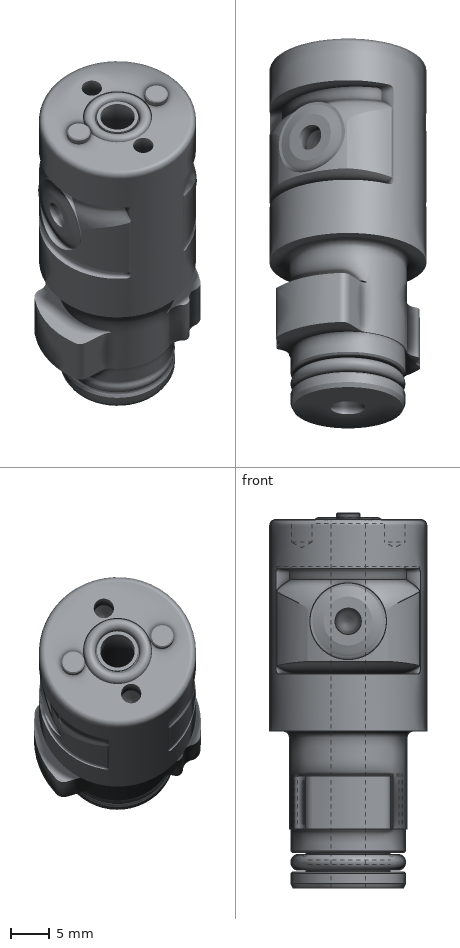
import cadquery as cq
import math

body_radius = 20.6 / 2
body_bottom = 20.55
body_top = 48.25
body_edge_radius = 0.8
bore_radius = 2.25

shaft_radius = 7.7
shaft_bottom = 7.7
shoulder_fillet = 0.8

spigot_radius = 7.5
groove_bottom = 2.1
groove_top = 4.6
groove_radius = 5.5
groove_edge_chamfer = 0.25
spigot_lead_in = 0.3
spigot_lead_in_height = 0.6
spigot_ring_tube = 1.05

face_ring_radius = 3.7
face_ring_tube = 0.85
face_ring_height = 0.3
bore_lip_radius = 2.7

face_circle_radius = 6.1
pin_radius = 1.5
pin_top = 49.1
pin_chamfer = 0.15
drill_radius = 1.35
drill_depth = 2.95
drill_tip_depth = 0.75

web_half_width = 4.1
window_bottom = 28.05
front_window_top = 41.85
back_window_top = 42.1
window_fillet = 0.6

jaw_axis_offset = 2.05
jaw_neck_radius = 7.75 + jaw_axis_offset
jaw_radius = 24.2 / 2
jaw_half_width = 9.35
jaw_cone_top = 29.65
jaw_dome_bottom = 36.0
jaw_dome_middle_radius = 11.85
jaw_dome_middle = 37.7
jaw_dome_top_radius = 11.2
jaw_dome_top = 38.95
jaw_neck_bottom = 40.4
jaw_neck_flare = 0.25

screw_height = 34.9
screw_flange_radius = 5.0
screw_cone_radius = 4.6
screw_face_radius = 3.2
screw_face = 9.55
screw_cone_depth = 0.4
socket_radius = 1.7
socket_depth = 1.95
socket_tip_depth = 0.75

lug_outer_radius = 10.95
lug_top = 14.65
lug_gap = 0.3
lug_gap_radius = 7.25


def half_turn(solid):
    return solid.rotate((0, 0, 0), (0, 0, 1), 180)


def torus(ring_radius, tube_radius, height):
    return cq.Workplane("XZ").center(ring_radius, height).circle(tube_radius).revolve(
        360, (-ring_radius, 0), (-ring_radius, 1)
    )


def blind_hole(radius, depth, tip_depth):
    """Drill with a conical tip, pointing down from the origin."""
    return (
        cq.Workplane("XZ")
        .polyline([(0, 0), (radius, 0), (radius, -depth), (0, -depth - tip_depth)])
        .close()
        .revolve(360, (0, 0), (0, 1))
    )


def turned_body():
    spigot_bottom_radius = spigot_radius - spigot_lead_in
    groove_edge_radius = spigot_radius - groove_edge_chamfer
    fillet_middle = shoulder_fillet * (1 - math.sqrt(0.5))
    edge_middle = body_edge_radius * (1 - math.sqrt(0.5))
    return (
        cq.Workplane("XZ")
        .moveTo(0, 0)
        .lineTo(spigot_bottom_radius, 0)
        .lineTo(spigot_radius, spigot_lead_in_height)
        .lineTo(spigot_radius, groove_bottom - groove_edge_chamfer)
        .lineTo(groove_edge_radius, groove_bottom)
        .lineTo(groove_radius, groove_bottom)
        .lineTo(groove_radius, groove_top)
        .lineTo(groove_edge_radius, groove_top)
        .lineTo(spigot_radius, groove_top + groove_edge_chamfer)
        .lineTo(spigot_radius, shaft_bottom)
        .lineTo(shaft_radius, shaft_bottom)
        .lineTo(shaft_radius, body_bottom - shoulder_fillet)
        .threePointArc(
            (shaft_radius + fillet_middle, body_bottom - fillet_middle),
            (shaft_radius + shoulder_fillet, body_bottom),
        )
        .lineTo(body_radius, body_bottom)
        .lineTo(body_radius, body_top - body_edge_radius)
        .threePointArc(
            (body_radius - edge_middle, body_top - edge_middle),
            (body_radius - body_edge_radius, body_top),
        )
        .lineTo(0, body_top)
        .close()
        .revolve(360, (0, 0), (0, 1))
    )


def window(top):
    """Opening on the -Y side, rounded where floor and ceiling meet the web."""
    return (
        cq.Workplane("XY")
        .box(2 * body_radius, body_radius, top - window_bottom, centered=(True, False, False))
        .edges("|X and >Y")
        .fillet(window_fillet)
        .translate((0, -web_half_width - body_radius, window_bottom))
    )


def jaw():
    """Jaw on the -Y side, running into the floor and ceiling of its window."""
    dome_points = [
        (jaw_dome_middle_radius, jaw_dome_middle),
        (jaw_dome_top_radius, jaw_dome_top),
        (jaw_neck_radius + jaw_neck_flare, jaw_neck_bottom - jaw_neck_flare),
    ]
    turned = (
        cq.Workplane("XZ")
        .moveTo(0, window_bottom)
        .lineTo(jaw_neck_radius, window_bottom)
        .lineTo(jaw_radius, jaw_cone_top)
        .lineTo(jaw_radius, jaw_dome_bottom)
        .spline(dome_points, includeCurrent=True)
        .lineTo(jaw_neck_radius, jaw_neck_bottom)
        .lineTo(jaw_neck_radius, back_window_top)
        .lineTo(0, back_window_top)
        .close()
        .revolve(360, (0, 0), (0, 1))
        .translate((0, jaw_axis_offset, 0))
    )
    outside_web = cq.Workplane("XY").box(
        2 * jaw_half_width, body_radius, body_top, centered=(True, False, False)
    ).translate((0, -body_radius, 0))
    body_envelope = cq.Workplane("XY").circle(body_radius).extrude(body_top)
    recess = (
        cq.Workplane("XZ", origin=(0, screw_cone_depth - screw_face, screw_height))
        .circle(screw_flange_radius)
        .extrude(body_radius)
    )
    return turned.intersect(outside_web).intersect(body_envelope).cut(recess)


def on_jaw_face(solid):
    """Turn a solid from the Z axis to the -Y axis and set it on the screw face."""
    return solid.rotate((0, 0, 0), (1, 0, 0), 90).translate((0, -screw_face, screw_height))


def screw():
    rim_height = -screw_cone_depth
    root_height = web_half_width - screw_face
    profile = [
        (0, root_height),
        (screw_flange_radius, root_height),
        (screw_flange_radius, rim_height),
        (screw_cone_radius, rim_height),
        (screw_face_radius, 0),
        (0, 0),
    ]
    return on_jaw_face(cq.Workplane("XZ").polyline(profile).close().revolve(360, (0, 0), (0, 1)))


def lug_outline(bottom, height):
    """Lug on the -Y side: a finger and a scallop at -X, a plain flank at +X."""
    return (
        cq.Workplane("XY", origin=(0, 0, bottom))
        .moveTo(-7.05, -3.2)
        .threePointArc((-6.65, -4.4), (-7.05, -5.85))
        .threePointArc((-7.0, -6.5), (-6.6, -6.95))
        .threePointArc((-5.85, -7.5), (-5.6, -8.35))
        .lineTo(-5.6, -8.7)
        .threePointArc((-5.3, -9.45), (-4.5, -9.95))
        .threePointArc((0, -lug_outer_radius), (4.5, -9.95))
        .threePointArc((5.3, -9.45), (5.55, -8.6))
        .lineTo(5.55, -6.0)
        .threePointArc((5.65, -5.45), (5.9, -5.0))
        .close()
        .extrude(height)
    )


def lug_gap_cut():
    core = cq.Workplane("XY", origin=(0, 0, lug_top)).circle(lug_gap_radius).extrude(lug_gap)
    return lug_outline(lug_top, lug_gap).cut(core)


result = turned_body()

result = result.cut(window(front_window_top)).cut(half_turn(window(back_window_top)))
socket = on_jaw_face(blind_hole(socket_radius, socket_depth, socket_tip_depth))
plugged_jaw = jaw().union(screw()).cut(socket)
result = result.union(plugged_jaw).union(half_turn(plugged_jaw))

lug = lug_outline(shaft_bottom, lug_top - shaft_bottom)
result = result.union(lug).union(half_turn(lug))
result = result.cut(lug_gap_cut()).cut(half_turn(lug_gap_cut()))

spigot_ring_height = (groove_bottom + groove_top) / 2
result = result.union(torus(spigot_radius - spigot_ring_tube, spigot_ring_tube, spigot_ring_height))

face_ring_centre = body_top + face_ring_height - face_ring_tube
face_recess = (
    cq.Workplane("XY", origin=(0, 0, face_ring_centre))
    .circle(face_ring_radius + face_ring_tube)
    .circle(bore_lip_radius)
    .extrude(face_ring_tube)
)
result = result.cut(face_recess)
result = result.union(torus(face_ring_radius, face_ring_tube, face_ring_centre))
result = result.cut(cq.Workplane("XY").circle(bore_radius).extrude(pin_top))

pin = (
    cq.Workplane("XY", origin=(0, 0, body_top - pin_radius))
    .circle(pin_radius)
    .extrude(pin_top - body_top + pin_radius)
    .faces(">Z")
    .chamfer(pin_chamfer)
)
drill = blind_hole(drill_radius, drill_depth, drill_tip_depth)
for side in (-1, 1):
    result = result.union(pin.translate((0, side * face_circle_radius, 0)))
    result = result.cut(drill.translate((side * face_circle_radius, 0, body_top)))